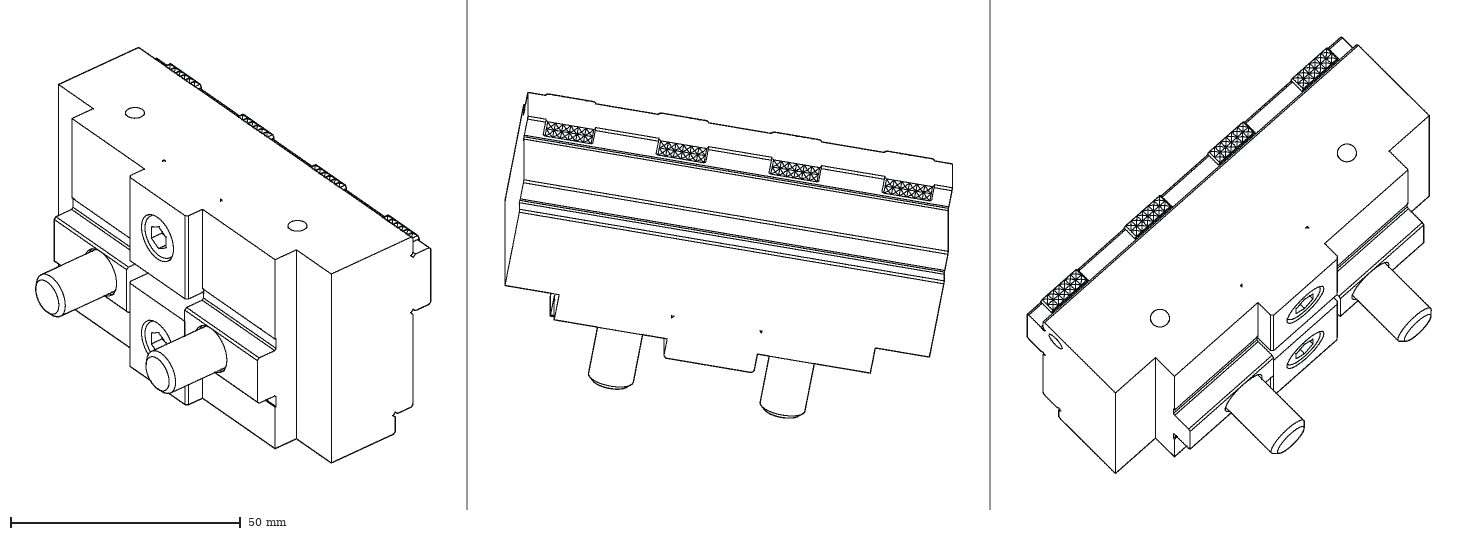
import cadquery as cq
import math


LENGTH = 94.0
HEIGHT = 50.0
EDGE_CHAMFER = 0.5
REAR_DEPTH = 5.0
STEP_DEPTH = 10.0
STEP_HEIGHT = 5.0
TONGUE_BOTTOM = 30.0
TONGUE_TOP = 45.0
RELIEF_REACH = 0.65
RELIEF_SINK = 0.6
WING_DEPTH = 28.0
SHOULDER_DEPTH = 34.0
SHOULDER_HALF_LENGTH = 35.0

RAIL_DEPTH = 39.0
RAIL_BOTTOM = 14.0
RAIL_TOP = 26.0
RAIL_RELIEF_WIDTH = 3.0
RAIL_RELIEF_DEPTH = 0.3
RAIL_ROOT_CHAMFER = 0.4

SLOT_WIDTH = 20.0
SLOT_FLOOR_DEPTH = 28.5
BLOCK_DEPTH = 38.5
BLOCK_HEIGHT = 22.0

SCREW_HEIGHTS = (11.0, 39.0)
SCREW_HEAD_DIAMETER = 10.0
SCREW_HEAD_LENGTH = 6.0
SCREW_HEAD_ROUND = 0.5
SCREW_RECESS = 0.3
COUNTERBORE_DIAMETER = 11.0
SOCKET_FLATS = 5.0
SOCKET_DEPTH = 3.0

PIN_DIAMETER = 10.0
PIN_TIP_DEPTH = 54.0
PIN_TIP_CHAMFER = 1.0
PIN_SPACING = 38.0
PIN_BORE_DIAMETER = 11.0
PIN_BORE_DEPTH = 1.0

DRILL_DIAMETER = 4.13
DRILL_LENGTH = 12.0
DRILL_POINT_ANGLE = 118.0
TOP_HOLE_SPACING = 56.0
TOP_HOLE_DEPTH = 22.0
END_HOLE_DEPTH = 9.0
END_HOLE_HEIGHT = 45.0

INSERT_COUNT = 4
INSERT_SPACING = 25.0
INSERT_WIDTH = 11.0
INSERT_DEPTH = 3.5
TOOTH_PITCH = 1.7
TOOTH_HEIGHT = 0.5
TOOTH_COLUMNS = 6
TOOTH_ROWS = 2
TOOTH_BASE = 0.7


def box(x_range, depth_range, z_range):
    """Box given by its limits along X, depth and Z."""
    x0, x1 = x_range
    d0, d1 = depth_range
    z0, z1 = z_range
    return cq.Workplane("XY").box(x1 - x0, d1 - d0, z1 - z0, centered=False).translate((x0, -d1, z0))


def side_prism(points, x_length):
    """Extrude a (depth, Z) outline symmetrically along X."""
    outline = [(-depth, z) for depth, z in points]
    return cq.Workplane("YZ").polyline(outline).close().extrude(x_length / 2, both=True)


def turned(points, axis, position):
    """Turn an (axial distance, radius) outline about a line from position along axis."""
    plane = cq.Plane(origin=position, xDir=axis, normal=perpendicular(axis))
    return cq.Workplane(plane).polyline(points).close().revolve(360, (0, 0), (1, 0))


def perpendicular(axis):
    """Coordinate direction at right angles to a coordinate axis."""
    x, y, z = axis
    return (z, x, y)


def drill(axis, position):
    """Cutting shape of a blind drilled hole."""
    radius = DRILL_DIAMETER / 2
    point_length = radius / math.tan(math.radians(DRILL_POINT_ANGLE / 2))
    return turned([(0, 0), (0, radius), (DRILL_LENGTH, radius), (DRILL_LENGTH + point_length, 0)],
                  axis, position)


def corner_relief(depth, z, inward):
    """Groove cut at 45 degrees into an inner corner; inward is the Z sign towards the solid."""
    open_end = inward * RELIEF_REACH
    sink = inward * RELIEF_SINK
    return side_prism([
        (depth - RELIEF_REACH, z),
        (depth, z - open_end),
        (depth + RELIEF_SINK, z - open_end + sink),
        (depth - RELIEF_REACH + RELIEF_SINK, z + sink),
    ], LENGTH)


def make_body():
    """Rear outline with tongue and rebate, stepped at both ends of the front."""
    c = EDGE_CHAMFER
    rear = [
        (SHOULDER_DEPTH, 0), (SHOULDER_DEPTH, HEIGHT),
        (REAR_DEPTH + c, HEIGHT), (REAR_DEPTH, HEIGHT - c),
        (REAR_DEPTH, TONGUE_TOP), (c, TONGUE_TOP), (0, TONGUE_TOP - c),
        (0, TONGUE_BOTTOM + c), (c, TONGUE_BOTTOM), (REAR_DEPTH, TONGUE_BOTTOM),
        (REAR_DEPTH, STEP_HEIGHT + c), (REAR_DEPTH + c, STEP_HEIGHT),
        (STEP_DEPTH, STEP_HEIGHT), (STEP_DEPTH, c), (STEP_DEPTH + c, 0),
    ]
    body = side_prism(rear, LENGTH)
    body = body.cut(corner_relief(REAR_DEPTH, TONGUE_TOP, -1))
    body = body.cut(corner_relief(REAR_DEPTH, TONGUE_BOTTOM, 1))
    body = body.cut(corner_relief(STEP_DEPTH, STEP_HEIGHT, 1))
    for x_range in ((-LENGTH / 2, -SHOULDER_HALF_LENGTH), (SHOULDER_HALF_LENGTH, LENGTH / 2)):
        body = body.cut(box(x_range, (WING_DEPTH, SHOULDER_DEPTH), (0, HEIGHT)))
    return body


def add_rail(body):
    """Horizontal rail on the shoulder face with a shallow relief above and below."""
    floor = SHOULDER_DEPTH - RAIL_RELIEF_DEPTH
    c = EDGE_CHAMFER
    body = body.cut(box((-SHOULDER_HALF_LENGTH, SHOULDER_HALF_LENGTH), (floor, SHOULDER_DEPTH),
                        (RAIL_BOTTOM - RAIL_RELIEF_WIDTH, RAIL_TOP + RAIL_RELIEF_WIDTH)))
    r = RAIL_ROOT_CHAMFER
    rail = [
        (floor, RAIL_BOTTOM - r), (floor + r, RAIL_BOTTOM),
        (RAIL_DEPTH - c, RAIL_BOTTOM), (RAIL_DEPTH, RAIL_BOTTOM + c),
        (RAIL_DEPTH, RAIL_TOP - c), (RAIL_DEPTH - c, RAIL_TOP),
        (floor + r, RAIL_TOP), (floor, RAIL_TOP + r),
    ]
    return body.union(side_prism(rail, 2 * SHOULDER_HALF_LENGTH))


def make_block(z_bottom):
    """Slot block with four chamfered vertical edges."""
    half_width = SLOT_WIDTH / 2
    z_range = (z_bottom, z_bottom + BLOCK_HEIGHT)
    block = box((-half_width, half_width), (SLOT_FLOOR_DEPTH, BLOCK_DEPTH), z_range)
    return block.edges("|Z").chamfer(EDGE_CHAMFER)


def add_blocks(body):
    """Cut the central slot and seat the two blocks in it."""
    half_width = SLOT_WIDTH / 2
    body = body.cut(box((-half_width, half_width), (SLOT_FLOOR_DEPTH, RAIL_DEPTH), (0, HEIGHT)))
    body = body.union(make_block(0))
    return body.union(make_block(HEIGHT - BLOCK_HEIGHT))


def add_screw(body, z):
    """Socket head screw sunk in a counterbore."""
    face_depth = BLOCK_DEPTH - SCREW_RECESS
    seat_depth = face_depth - SCREW_HEAD_LENGTH
    front = cq.Plane(origin=(0, -BLOCK_DEPTH, z), xDir=(1, 0, 0), normal=(0, -1, 0))
    bore = cq.Workplane(front).circle(COUNTERBORE_DIAMETER / 2).extrude(seat_depth - BLOCK_DEPTH)

    seat = cq.Plane(origin=(0, -seat_depth, z), xDir=(1, 0, 0), normal=(0, -1, 0))
    head = cq.Workplane(seat).circle(SCREW_HEAD_DIAMETER / 2).extrude(SCREW_HEAD_LENGTH)
    head = head.faces("<Y").edges().fillet(SCREW_HEAD_ROUND)

    corner_diameter = SOCKET_FLATS / math.cos(math.pi / 6)
    radius = corner_diameter / 2
    point_length = radius / math.tan(math.radians(DRILL_POINT_ANGLE / 2))
    face = cq.Plane(origin=(0, -face_depth, z), xDir=(0, 0, 1), normal=(0, 1, 0))
    hexagon = cq.Workplane(face).polygon(6, corner_diameter).extrude(SCREW_HEAD_LENGTH)
    envelope = turned([(0, 0), (0, radius), (SOCKET_DEPTH, radius), (SOCKET_DEPTH + point_length, 0)],
                      (0, 1, 0), (0, -face_depth, z))
    return body.cut(bore).union(head.cut(hexagon.intersect(envelope)))


def add_pin(body, x):
    """Pin with a chamfered tip standing in a slightly larger bore."""
    floor_depth = RAIL_DEPTH - PIN_BORE_DEPTH
    z = (RAIL_BOTTOM + RAIL_TOP) / 2
    floor = cq.Plane(origin=(x, -floor_depth, z), xDir=(1, 0, 0), normal=(0, -1, 0))
    bore = cq.Workplane(floor).circle(PIN_BORE_DIAMETER / 2).extrude(PIN_BORE_DEPTH)
    pin = cq.Workplane(floor).circle(PIN_DIAMETER / 2).extrude(PIN_TIP_DEPTH - floor_depth)
    return body.cut(bore).union(pin.faces("<Y").chamfer(PIN_TIP_CHAMFER))


def tooth_outline(size, count, half_height):
    """Outline from 0 to size with a centred row of teeth above and below."""
    margin = (size - count * TOOTH_PITCH) / 2
    root_height = half_height + TOOTH_BASE
    upper = [(0, half_height), (margin, root_height)]
    for i in range(count):
        root = margin + i * TOOTH_PITCH
        upper.append((root + TOOTH_PITCH / 2, root_height + TOOTH_HEIGHT))
        upper.append((root + TOOTH_PITCH, root_height))
    upper.append((size, half_height))
    lower = [(u, -v) for u, v in reversed(upper)]
    return upper + lower


def make_insert():
    """Grip insert centred on X = 0: two crossed tooth prisms leave rows of pyramids."""
    half_height = (TONGUE_TOP - TONGUE_BOTTOM) / 2
    middle = (TONGUE_TOP + TONGUE_BOTTOM) / 2
    columns = tooth_outline(INSERT_WIDTH, TOOTH_COLUMNS, half_height)
    rows = tooth_outline(INSERT_DEPTH, TOOTH_ROWS, half_height)
    across = cq.Workplane("XZ").polyline(columns).close().extrude(INSERT_DEPTH)
    across = across.translate((-INSERT_WIDTH / 2, 0, 0))
    return across.intersect(side_prism(rows, INSERT_WIDTH)).translate((0, 0, middle))


def add_inserts(body):
    """Evenly spaced grip inserts along the tongue."""
    insert = make_insert()
    first_x = -INSERT_SPACING * (INSERT_COUNT - 1) / 2
    for i in range(INSERT_COUNT):
        body = body.union(insert.translate((first_x + i * INSERT_SPACING, 0, 0)))
    return body


def drill_holes(body):
    """Two holes from the top and one from the -X end."""
    for x in (-TOP_HOLE_SPACING / 2, TOP_HOLE_SPACING / 2):
        body = body.cut(drill((0, 0, -1), (x, -TOP_HOLE_DEPTH, HEIGHT)))
    return body.cut(drill((1, 0, 0), (-LENGTH / 2, -END_HOLE_DEPTH, END_HOLE_HEIGHT)))


result = add_rail(make_body())
result = add_blocks(result)
for screw_z in SCREW_HEIGHTS:
    result = add_screw(result, screw_z)
for pin_x in (-PIN_SPACING / 2, PIN_SPACING / 2):
    result = add_pin(result, pin_x)
result = drill_holes(result)
result = add_inserts(result)